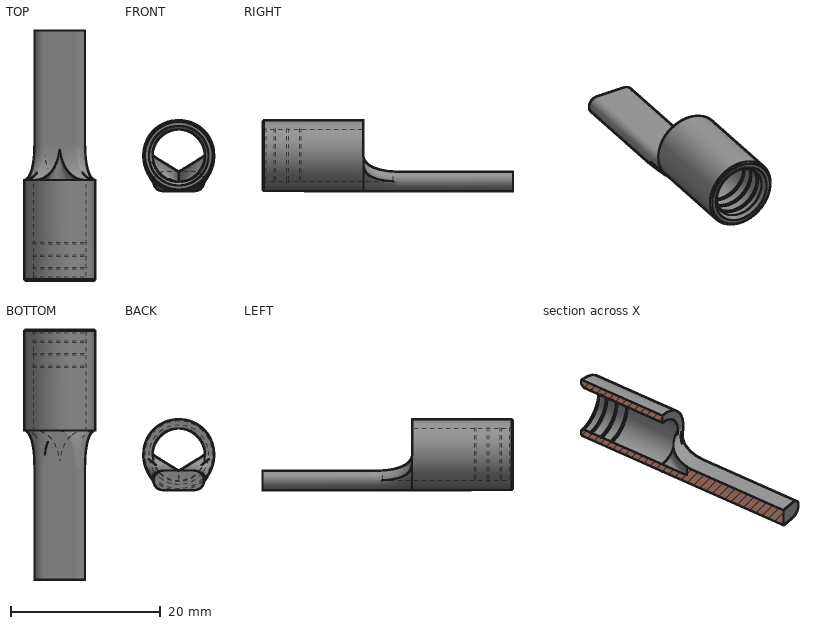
import cadquery as cq
import math

DIAGONAL = math.sqrt(0.5)

total_length = 33.5
barrel_length = 13.5
blend_length = 5.0
pin_length = total_length - barrel_length - blend_length

barrel_radius = 4.75
bore_radius = 3.5
rim_chamfer = 0.25
mouth_chamfer = 0.5

pin_width = 6.8
pin_height = 2.6
pin_corner = pin_height / 2
pin_flat_half = pin_width / 2 - pin_corner
pin_top = pin_height - barrel_radius
pin_side = pin_corner - barrel_radius

groove_count = 3
groove_pitch = 1.68
groove_width = 0.2
groove_depth = 0.1

blend_exponent = 2.2
blend_steps = 12
body_first_angle = 1.0
trough_top = 0.35
trough_last_angle = 80.0

mouth_y = -total_length / 2
shoulder_y = mouth_y + barrel_length
pin_y = shoulder_y + blend_length


def blend_stations(first_angle, last_angle):
    """List (y, share) pairs; share falls from 1 at the barrel to 0 at the pin."""
    stations = []
    for step in range(blend_steps + 1):
        angle = math.radians(first_angle + (last_angle - first_angle) * step / blend_steps)
        run = 1 - math.cos(angle) ** (2 / blend_exponent)
        share = 1 - math.sin(angle) ** (2 / blend_exponent)
        stations.append((shoulder_y + blend_length * run, share))
    stations[0] = (shoulder_y, stations[0][1])
    return stations


def section_plane(y):
    """Plane across the part at y, with X to the right and Z up."""
    return cq.Plane(origin=(0, y, 0), xDir=(1, 0, 0), normal=(0, -1, 0))


def cylinder(y, radius, length):
    return cq.Workplane(section_plane(y)).circle(radius).extrude(-length)


def body_section(y, share):
    """Flat-bottomed outline between the pin's slot shape and the barrel's lower half."""
    half_width = pin_width / 2 + (barrel_radius - pin_width / 2) * share
    flat = pin_flat_half * (1 - share)
    bottom = -barrel_radius
    top = pin_top * (1 - share)

    side = pin_side * math.sqrt(1 - share)

    fade = math.sqrt(share)
    pin_x, pin_z = pin_flat_half + pin_corner * DIAGONAL, pin_side - pin_corner * DIAGONAL
    barrel_x, barrel_z = barrel_radius * DIAGONAL, -barrel_radius * DIAGONAL
    lower_x, lower_z = pin_x + (barrel_x - pin_x) * fade, pin_z + (barrel_z - pin_z) * fade

    upper = pin_corner * (1 - share)
    upper_x, upper_z = half_width - upper * (1 - DIAGONAL), side + (top - side) * DIAGONAL
    return (
        cq.Workplane(section_plane(y))
        .moveTo(-flat, bottom)
        .lineTo(flat, bottom)
        .threePointArc((lower_x, lower_z), (half_width, side))
        .threePointArc((upper_x, upper_z), (half_width - upper, top))
        .lineTo(upper - half_width, top)
        .threePointArc((-upper_x, upper_z), (-half_width, side))
        .threePointArc((-lower_x, lower_z), (-flat, bottom))
        .close()
    )


def make_barrel():
    return cylinder(mouth_y, barrel_radius, barrel_length).faces("<Y").chamfer(rim_chamfer)


def make_pin():
    return body_section(pin_y, 0).extrude(-pin_length)


def make_blend():
    stations = blend_stations(body_first_angle, 90)
    sections = [body_section(y, share).wire().val() for y, share in stations]
    return cq.Workplane(cq.Solid.makeLoft(sections))


def make_bore():
    """Straight bore with a countersunk mouth and shallow grip grooves."""
    bore = cylinder(mouth_y, bore_radius, barrel_length)
    mouth = cq.Solid.makeCone(
        bore_radius + mouth_chamfer, bore_radius, mouth_chamfer,
        pnt=cq.Vector(0, mouth_y, 0), dir=cq.Vector(0, 1, 0),
    )
    bore = bore.union(cq.Workplane(mouth))
    for number in range(1, groove_count + 1):
        groove_y = mouth_y + number * groove_pitch - groove_width / 2
        bore = bore.union(cylinder(groove_y, bore_radius + groove_depth, groove_width))
    return bore


def trough_section(y, share):
    """U outline standing on the bore floor, open above the blend."""
    radius = bore_radius * share
    return (
        cq.Workplane(section_plane(y))
        .moveTo(-radius, trough_top)
        .lineTo(-radius, radius - bore_radius)
        .threePointArc((0, -bore_radius), (radius, radius - bore_radius))
        .lineTo(radius, trough_top)
        .close()
    )


def make_trough():
    """Horn that carries the bore floor into the blend while narrowing to a point."""
    stations = blend_stations(0, trough_last_angle)
    sections = [trough_section(y, share).wire().val() for y, share in stations]
    return cq.Workplane(cq.Solid.makeLoft(sections))


blend = make_blend().cut(make_trough())
result = make_barrel().union(make_pin()).union(blend).cut(make_bore())